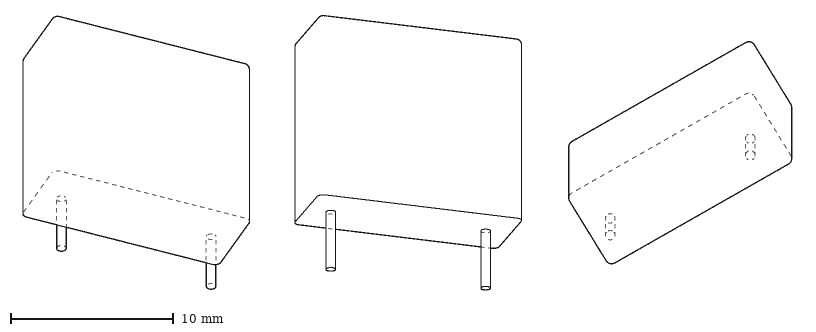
import cadquery as cq

length = 13.2
width = 5.2
total_height = 15.8

housing_height = 12.01
edge_radius = 0.4

pin_diameter = 0.6
pin_spacing = 10.0
pin_length = total_height - housing_height


def make_housing():
    """Box standing on Z = 0, rounded on every edge except around its flat base."""
    box = cq.Workplane("XY").box(length, width, housing_height, centered=(True, True, False))
    return box.edges("|Z or >Z").fillet(edge_radius)


def make_pin(x):
    """Round pin that hangs down from the housing base."""
    return cq.Workplane("XY").center(x, 0).circle(pin_diameter / 2).extrude(-pin_length)


housing = make_housing()
pins = [make_pin(side * pin_spacing / 2) for side in (-1, 1)]

result = cq.Compound.makeCompound([housing.val(), *[pin.val() for pin in pins]])